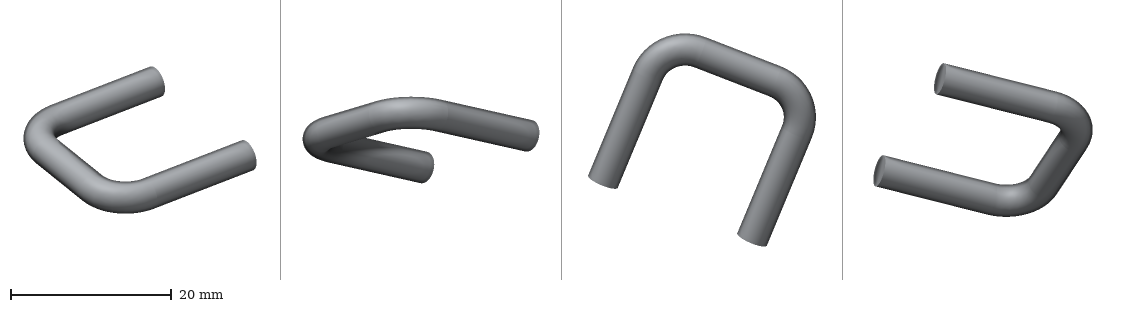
import cadquery as cq

rod_diameter = 4.0
leg_spacing = 20.0
bend_radius = 5.0
leg_length = 15.0

leg_x = leg_spacing / 2
crossbar_half_length = leg_x - bend_radius
leg_end_y = bend_radius + leg_length


def rod_centreline():
    """Path down the left leg and up the right one, with the crossbar along Y = 0."""
    return (
        cq.Workplane("XY")
        .moveTo(-leg_x, leg_end_y)
        .lineTo(-leg_x, bend_radius)
        .tangentArcPoint((-crossbar_half_length, 0), relative=False)
        .lineTo(crossbar_half_length, 0)
        .tangentArcPoint((leg_x, bend_radius), relative=False)
        .lineTo(leg_x, leg_end_y)
    )


def bent_rod():
    """Round rod section swept along the centreline from the end of the left leg."""
    section = cq.Workplane("XZ", origin=(-leg_x, leg_end_y, 0)).circle(rod_diameter / 2)
    return section.sweep(rod_centreline())


result = bent_rod()